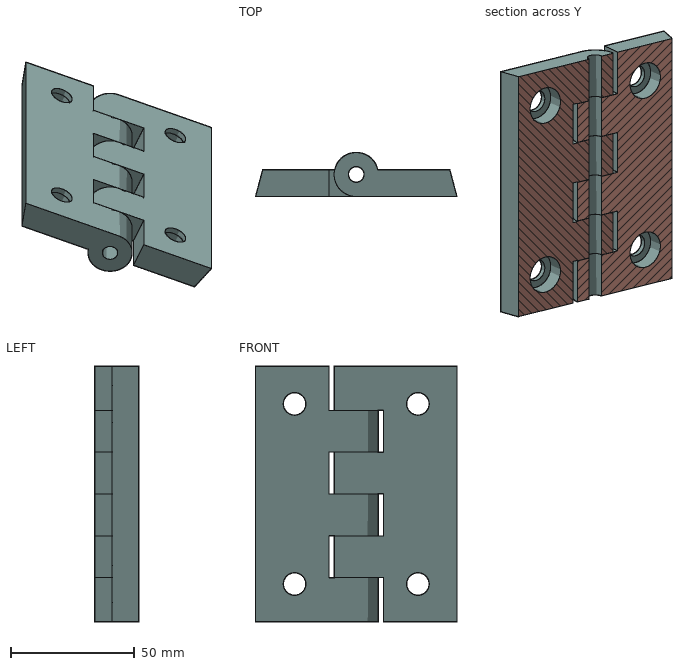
import cadquery as cq

HEIGHT = 104.0
HALF_WIDTH = 41.0
LEAF_THICKNESS = 10.9
EDGE_SLANT = 2.9

KNUCKLE_DIAMETER = 18.0
KNUCKLE_RADIUS = KNUCKLE_DIAMETER / 2
PIN_HOLE_DIAMETER = 6.2
KNUCKLE_CLEARANCE = 2.1
END_KNUCKLE_LENGTH = 18.0
KNUCKLE_COUNT = 6

SCREW_HOLE_DIAMETER = 9.0
COUNTERBORE_DIAMETER = 15.0
COUNTERBORE_DEPTH = 8.5
SCREW_X = 25.1
SCREW_PITCH = 73.2

MOUNT_Y = -KNUCKLE_RADIUS
FACE_Y = MOUNT_Y + LEAF_THICKNESS
LEAF_INNER_X = KNUCKLE_RADIUS + KNUCKLE_CLEARANCE
MID_KNUCKLE_LENGTH = (HEIGHT - 2 * END_KNUCKLE_LENGTH) / (KNUCKLE_COUNT - 2)


def knuckle_span(index):
    """Bottom height and length of a knuckle, counted from the bottom."""
    if index == 0:
        return 0.0, END_KNUCKLE_LENGTH
    bottom = END_KNUCKLE_LENGTH + (index - 1) * MID_KNUCKLE_LENGTH
    if index == KNUCKLE_COUNT - 1:
        return bottom, END_KNUCKLE_LENGTH
    return bottom, MID_KNUCKLE_LENGTH


def make_plate():
    """Leaf plate on the +X side, with a slanted outer edge."""
    return (
        cq.Workplane("XY")
        .moveTo(LEAF_INNER_X, MOUNT_Y)
        .lineTo(HALF_WIDTH, MOUNT_Y)
        .lineTo(HALF_WIDTH - EDGE_SLANT, FACE_Y)
        .lineTo(LEAF_INNER_X, FACE_Y)
        .close()
        .extrude(HEIGHT)
    )


def make_knuckle(index):
    """Round barrel with a web that reaches the plate."""
    bottom, length = knuckle_span(index)
    level = cq.Workplane("XY").workplane(offset=bottom)
    barrel = level.circle(KNUCKLE_RADIUS).extrude(length)
    web = level.moveTo(0, MOUNT_Y).rect(LEAF_INNER_X, LEAF_THICKNESS, centered=False).extrude(length)
    return barrel.union(web)


def make_screw_hole(z):
    """Cutter for one counterbored through hole, revolved about its own axis."""
    hole_radius = SCREW_HOLE_DIAMETER / 2
    return (
        cq.Workplane("XY", origin=(SCREW_X, 0, z))
        .moveTo(0, MOUNT_Y)
        .lineTo(hole_radius, MOUNT_Y)
        .lineTo(hole_radius, FACE_Y - COUNTERBORE_DEPTH)
        .lineTo(COUNTERBORE_DIAMETER / 2, FACE_Y - COUNTERBORE_DEPTH)
        .lineTo(COUNTERBORE_DIAMETER / 2, FACE_Y)
        .lineTo(0, FACE_Y)
        .close()
        .revolve(360, (0, 0, 0), (0, 1, 0))
    )


def make_leaf(first_knuckle):
    """Leaf on the +X side carrying every second knuckle from first_knuckle up."""
    leaf = make_plate()
    for index in range(first_knuckle, KNUCKLE_COUNT, 2):
        leaf = leaf.union(make_knuckle(index))
    leaf = leaf.cut(cq.Workplane("XY").circle(PIN_HOLE_DIAMETER / 2).extrude(HEIGHT))
    for side in (-1, 1):
        leaf = leaf.cut(make_screw_hole(HEIGHT / 2 + side * SCREW_PITCH / 2))
    return leaf


right_leaf = make_leaf(first_knuckle=1)
left_leaf = make_leaf(first_knuckle=0).mirror("YZ")

result = cq.Compound.makeCompound([left_leaf.val(), right_leaf.val()])